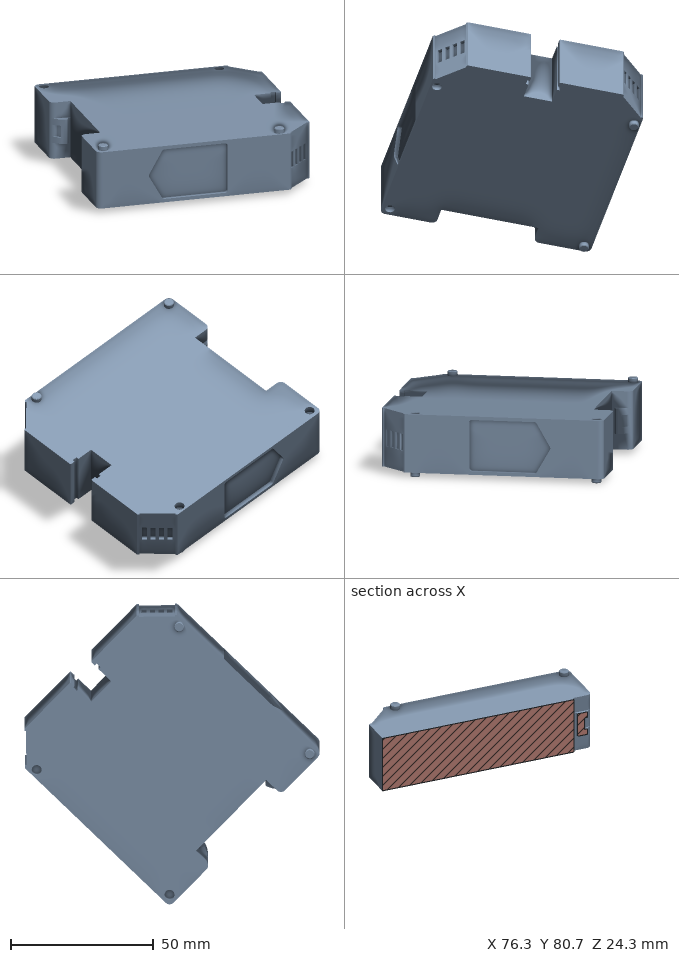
import cadquery as cq
import math

WIDTH = 76.3
LENGTH = 80.65
OVERALL_HEIGHT = 24.3
THICKNESS = 20.8
FOOT_CORNER_RADIUS = 1.9

CORNER_LEG = 10.0
CORNER_RECESS = 0.5
LIP_LENGTH = 0.8

VENT_COUNT = 4
VENT_PITCH = 3.0
VENT_WIDTH = 1.8
VENT_HEIGHT = 6.0
VENT_DEPTH = 1.3

OPENING_WIDTH = 10.25
OPENING_DEPTH = 10.0
OPENING_EDGE_RADIUS = 0.4
NOTCH_DEPTH = 1.0
NOTCH_LENGTH = 1.85
NOTCH_SETBACK = 1.9

RAIL_GAP_WIDTH = 35.5
RAIL_GAP_DEPTH = 7.25

HOOK_HEIGHT = 9.0
HOOK_NECK_REACH = 0.5
HOOK_SHOULDER_REACH = 1.3
HOOK_SHOULDER_DROP = 1.1
HOOK_TIP_REACH = 2.3
HOOK_TIP_DROP = 1.85
HOOK_TIP_FLAT = 0.65
HOOK_BELLY_REACH = 1.7
HOOK_BELLY_DROP = 3.95
HOOK_TIP_RADIUS = 0.4
HOOK_RECESS_HEIGHT = 4.35
HOOK_RECESS_DEPTH = 0.7

LABEL_DEPTH = 1.5
LABEL_HEIGHT = 18.3
LABEL_START_Y = 7.3
LABEL_SHOULDER_Y = -16.4
LABEL_TIP_HALF_ANGLE = 60.0
LABEL_CORNER_RADIUS = 1.0

PIN_DIAMETER = 3.5
PIN_CHAMFER = 0.25
PIN_HOLE_DEPTH = 2.5
PIN_PLACES = [(35.7, 27.0), (35.2, -37.35)]

half_width = WIDTH / 2
half_length = LENGTH / 2
half_thickness = THICKNESS / 2
pin_height = (OVERALL_HEIGHT - THICKNESS) / 2
half_gap = RAIL_GAP_WIDTH / 2
gap_floor_y = RAIL_GAP_DEPTH - half_length
diagonal = math.sqrt(0.5)


def plate(points, height):
    """Closed XY outline extruded symmetrically about Z = 0."""
    return cq.Workplane("XY").polyline(points).close().extrude(height / 2, both=True)


def both_sides(solid):
    """The solid together with its mirror image across the YZ plane."""
    return solid.union(solid.mirror("YZ"))


def make_body():
    """Outline of the +X half, from the opening to the rail gap, mirrored into the full plate."""
    half_opening = OPENING_WIDTH / 2
    notch_top = half_length - NOTCH_SETBACK
    notch_bottom = notch_top - NOTCH_LENGTH
    lip = LIP_LENGTH * diagonal
    recess = CORNER_RECESS * diagonal
    corner_x = half_width - CORNER_LEG
    corner_y = half_length - CORNER_LEG
    outline = [
        (0, half_length - OPENING_DEPTH),
        (half_opening, half_length - OPENING_DEPTH),
        (half_opening, notch_bottom),
        (half_opening + NOTCH_DEPTH, notch_bottom),
        (half_opening + NOTCH_DEPTH, notch_top),
        (half_opening, notch_top),
        (half_opening, half_length),
        (corner_x, half_length),
        (corner_x + lip, half_length - lip),
        (corner_x + lip - recess, half_length - lip - recess),
        (half_width - lip - recess, corner_y + lip - recess),
        (half_width - lip, corner_y + lip),
        (half_width, corner_y),
        (half_width, -half_length),
        (half_gap, -half_length),
        (half_gap, gap_floor_y),
        (0, gap_floor_y),
    ]
    body = both_sides(plate(outline, THICKNESS))
    body = body.edges("|Z and <Y").fillet(FOOT_CORNER_RADIUS)
    mouth = cq.selectors.BoxSelector(
        (-half_opening - NOTCH_DEPTH, half_length - NOTCH_SETBACK / 2, -THICKNESS),
        (half_opening + NOTCH_DEPTH, half_length + NOTCH_SETBACK / 2, THICKNESS),
    )
    return body.edges("|Z").edges(mouth).fillet(OPENING_EDGE_RADIUS)


def make_hook():
    """Rail hook on the +X gap wall; its curved front face ends on the rounded foot corner."""
    neck_x = half_gap - HOOK_NECK_REACH
    shoulder_y = gap_floor_y - HOOK_SHOULDER_DROP
    tip_x = half_gap - HOOK_TIP_REACH
    tip_y = gap_floor_y - HOOK_TIP_DROP
    belly_x = half_gap - HOOK_BELLY_REACH
    belly_y = gap_floor_y - HOOK_BELLY_DROP
    arc_inset = FOOT_CORNER_RADIUS * (1 - diagonal)
    foot_x = half_gap + arc_inset
    foot_y = arc_inset - half_length
    inside_x = half_gap + FOOT_CORNER_RADIUS
    hook = (
        cq.Workplane("XY")
        .moveTo(inside_x, gap_floor_y)
        .lineTo(neck_x, gap_floor_y)
        .lineTo(neck_x, shoulder_y)
        .lineTo(half_gap - HOOK_SHOULDER_REACH, shoulder_y)
        .lineTo(tip_x, tip_y)
        .lineTo(tip_x, tip_y - HOOK_TIP_FLAT)
        .threePointArc((belly_x, belly_y), (foot_x, foot_y))
        .lineTo(inside_x, foot_y)
        .close()
        .extrude(HOOK_HEIGHT / 2, both=True)
    )
    hook = hook.edges("|Z and <X").edges(">Y").fillet(HOOK_TIP_RADIUS)

    recess_y = belly_y + HOOK_RECESS_DEPTH
    recess_run = inside_x - belly_x
    recess = [
        (belly_x, recess_y),
        (inside_x, recess_y - recess_run),
        (inside_x, -half_length),
        (belly_x, -half_length),
    ]
    return hook.cut(plate(recess, HOOK_RECESS_HEIGHT))


def make_vents():
    """Row of slot cutters centred on the sunk +X corner face."""
    face_offset = CORNER_LEG / 2 + CORNER_RECESS * diagonal
    vents = cq.Workplane("XY")
    for index in range(VENT_COUNT):
        along_face = (index - (VENT_COUNT - 1) / 2) * VENT_PITCH
        slot = cq.Workplane("XY").box(VENT_WIDTH, 2 * VENT_DEPTH, VENT_HEIGHT)
        vents = vents.add(slot.translate((along_face, 0, 0)))
    return (
        vents.combine()
        .rotate((0, 0, 0), (0, 0, 1), -45)
        .translate((half_width - face_offset, half_length - face_offset, 0))
    )


def make_label_pocket():
    """Arrow-shaped cutter for the +X side, pointing towards -Y."""
    half_height = LABEL_HEIGHT / 2
    tip_y = LABEL_SHOULDER_Y - half_height / math.tan(math.radians(LABEL_TIP_HALF_ANGLE))
    return (
        cq.Workplane("YZ", origin=(half_width - LABEL_DEPTH, 0, 0))
        .moveTo(LABEL_START_Y, half_height)
        .lineTo(LABEL_SHOULDER_Y, half_height)
        .lineTo(tip_y, 0)
        .lineTo(LABEL_SHOULDER_Y, -half_height)
        .lineTo(LABEL_START_Y, -half_height)
        .close()
        .extrude(2 * LABEL_DEPTH)
        .edges("|X")
        .fillet(LABEL_CORNER_RADIUS)
    )


def both_faces(solid):
    """The solid together with a copy turned half a revolution about the Y axis."""
    return solid.union(solid.rotate((0, 0, 0), (0, 1, 0), 180))


def make_pins():
    """Chamfered pins on the top at +X and on the bottom at -X."""
    pins = (
        cq.Workplane("XY", origin=(0, 0, half_thickness))
        .pushPoints(PIN_PLACES)
        .circle(PIN_DIAMETER / 2)
        .extrude(pin_height)
        .faces(">Z")
        .chamfer(PIN_CHAMFER)
    )
    return both_faces(pins)


def make_pin_holes():
    """Cutters for the blind holes on the top at -X and on the bottom at +X."""
    holes = (
        cq.Workplane("XY", origin=(0, 0, half_thickness))
        .pushPoints([(-x, y) for x, y in PIN_PLACES])
        .circle(PIN_DIAMETER / 2)
        .extrude(-PIN_HOLE_DEPTH)
    )
    return both_faces(holes)


result = (
    make_body()
    .union(both_sides(make_hook()))
    .cut(both_sides(make_vents()))
    .cut(both_sides(make_label_pocket()))
    .cut(make_pin_holes())
    .union(make_pins())
)